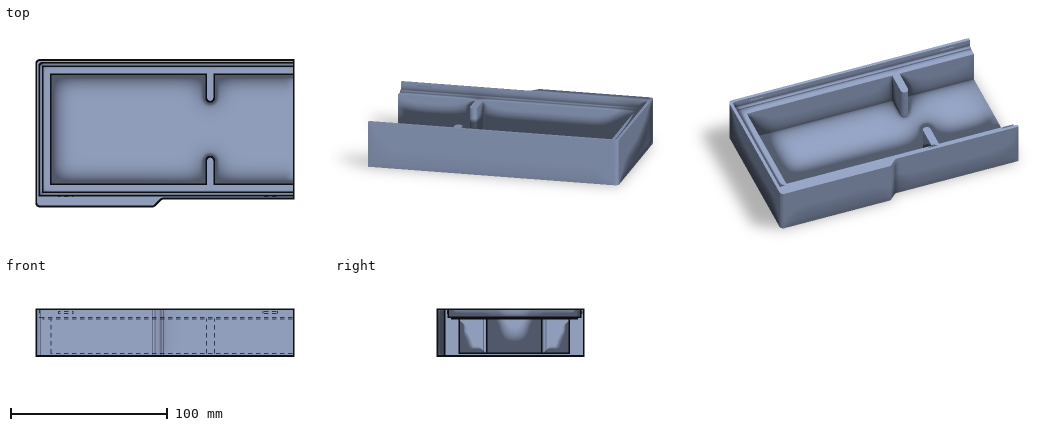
import cadquery as cq

length = 164.25
height = 30.0
pocket_width = 70.0
wall = 9.25
body_width = pocket_width + 2 * wall
floor_thickness = 2.0
corner_radius = 2.5

grip_depth = 5.0
grip_end = 75.0

rim_width = 2.0
rim_depth = 5.0
rim_corner_radius = 2.0
step_inset = 4.25
step_depth = 6.0

rib_thickness = 5.0
rib_length = 17.5
rib_center_x = 110.9

slot_length = 9.25
slot_height = 1.25
slot_depth = 0.5
slot_drop = 1.25
first_slot_x = 14.25
slot_spacing = 130.0


def open_ended_recess(inset, bottom_z):
    """Block that cuts a recess, inset from three walls and open at the +X end."""
    return (
        cq.Workplane("XY", origin=(inset, inset, bottom_z))
        .box(length - inset, body_width - 2 * inset, height - bottom_z, centered=False)
    )


def make_body():
    """Solid block with the grip and its ramp; its vertical edges are rounded except at the open end."""
    ramp_end = grip_end + grip_depth
    rounded_corners = [
        (0, body_width),
        (0, -grip_depth),
        (grip_end, -grip_depth),
        (ramp_end, 0),
    ]
    open_end_corners = [(length, 0), (length, body_width)]
    outline = rounded_corners + open_end_corners
    body = cq.Workplane("XY").polyline(outline).close().extrude(height)
    for x, y in rounded_corners:
        corner_edge = cq.selectors.NearestToPointSelector((x, y, height / 2))
        body = body.edges(corner_edge).fillet(corner_radius)
    return body


def cut_lid_seat_and_pocket(body):
    """Cut the rim recess, the step below it and the main pocket; one rim corner is rounded."""
    rim_recess = open_ended_recess(rim_width, height - rim_depth)
    rim_recess = rim_recess.edges("|Z and <X and >Y").fillet(rim_corner_radius)
    body = body.cut(rim_recess)
    body = body.cut(open_ended_recess(step_inset, height - step_depth))
    return body.cut(open_ended_recess(wall, floor_thickness))


def make_rib(wall_y, direction):
    """Rib with a half-round tip, reaching from the pocket wall at wall_y along +Y or -Y."""
    half_thickness = rib_thickness / 2
    rib_height = height - step_depth - floor_thickness
    tip_y = wall_y + direction * rib_length
    round_start_y = tip_y - direction * half_thickness
    left = rib_center_x - half_thickness
    right = rib_center_x + half_thickness
    return (
        cq.Workplane("XY", origin=(0, 0, floor_thickness))
        .moveTo(left, wall_y)
        .lineTo(left, round_start_y)
        .threePointArc((rib_center_x, tip_y), (right, round_start_y))
        .lineTo(right, wall_y)
        .close()
        .extrude(rib_height)
    )


def make_snap_slot(start_x, rim_face_y):
    """Bar centred on a rim's inner face, so that half its width cuts into the rim."""
    bar_width = 2 * slot_depth
    bottom_z = height - slot_drop - slot_height
    return (
        cq.Workplane("XY", origin=(start_x, rim_face_y - slot_depth, bottom_z))
        .box(slot_length, bar_width, slot_height, centered=False)
    )


result = cut_lid_seat_and_pocket(make_body())

for wall_y, direction in ((wall, 1), (body_width - wall, -1)):
    result = result.union(make_rib(wall_y, direction))

for rim_face_y in (rim_width, body_width - rim_width):
    for start_x in (first_slot_x, first_slot_x + slot_spacing):
        result = result.cut(make_snap_slot(start_x, rim_face_y))